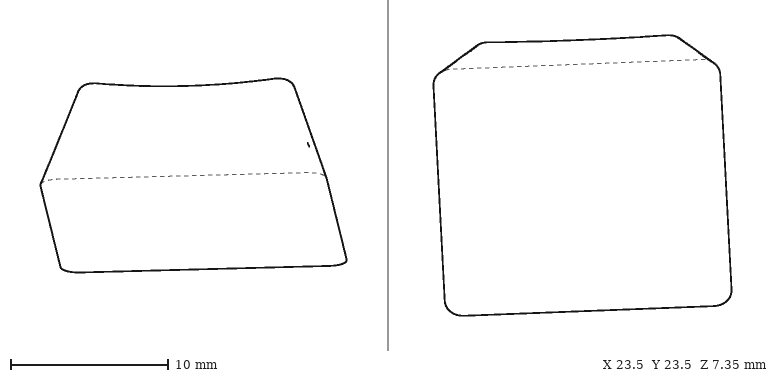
import cadquery as cq
import math

BASE_WIDTH = 18.3
WALL_DRAFT = 17.8
CORNER_RADIUS = 1.25
DISH_RADIUS = 42.0
DISH_FLOOR = 6.45
RIM_RADIUS = 0.6
TURN_ANGLE = -25.0

BLANK_HEIGHT = 9.0


def tapered_body():
    """Square frustum with rounded sloping corners."""
    top_width = BASE_WIDTH - 2 * BLANK_HEIGHT * math.tan(math.radians(WALL_DRAFT))
    frustum = (
        cq.Workplane("XY")
        .rect(BASE_WIDTH, BASE_WIDTH)
        .workplane(offset=BLANK_HEIGHT)
        .rect(top_width, top_width)
        .loft(ruled=True)
    )
    sloping_edges = frustum.edges("not(#Z)")
    return sloping_edges.fillet(CORNER_RADIUS)


def cut_dish(body):
    """Trim the top with a sphere, leaving a concave finger dish."""
    dish_ball = cq.Workplane("XY").sphere(DISH_RADIUS).translate((0, 0, DISH_FLOOR + DISH_RADIUS))
    return body.cut(dish_ball)


def round_rim(body):
    """Round the edge loop where the dish meets the walls and corners."""
    return body.faces("%SPHERE").edges().fillet(RIM_RADIUS)


keycap = round_rim(cut_dish(tapered_body()))
result = keycap.rotate((0, 0, 0), (0, 0, 1), TURN_ANGLE)